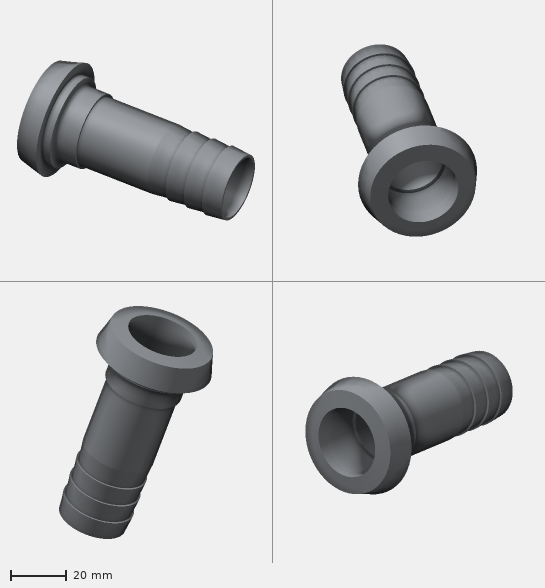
import cadquery as cq

total_length = 81.0

bore_diameter = 23.2
counterbore_diameter = 26.0
flange_front_diameter = 39.0
flange_diameter = 44.0
shoulder_diameter = 35.0
collar_diameter = 29.0
shank_diameter = 26.9
barb_tip_diameter = 25.3

seat_cone_depth = 0.6
flange_length = 9.8
shoulder_length = 3.2
collar_fillet_radius = 1.5
collar_length = 9.0
counterbore_depth = 20.0
barb_pitch = 7.5
barb_count = 4

shoulder_end = flange_length + shoulder_length
collar_end = shoulder_end + collar_length
barbs_start = total_length - barb_count * barb_pitch


def half(diameter):
    return diameter / 2


def head_outline():
    """Open outline from the counterbore edge over the flange, shoulder and collar to the shank."""
    return (
        cq.Workplane("XY")
        .moveTo(0, half(counterbore_diameter))
        .lineTo(seat_cone_depth, half(flange_front_diameter))
        .lineTo(flange_length, half(flange_diameter))
        .lineTo(flange_length, half(shoulder_diameter))
        .lineTo(shoulder_end, half(shoulder_diameter))
        .lineTo(shoulder_end, half(collar_diameter) + collar_fillet_radius)
        .radiusArc(
            (shoulder_end + collar_fillet_radius, half(collar_diameter)),
            -collar_fillet_radius,
        )
        .lineTo(collar_end, half(collar_diameter))
        .lineTo(collar_end, half(shank_diameter))
        .lineTo(barbs_start, half(shank_diameter))
    )


def add_barbs(outline):
    """Continue the outline with cones that narrow toward the hose end."""
    for index in range(barb_count):
        barb_start = barbs_start + index * barb_pitch
        if index > 0:
            outline = outline.lineTo(barb_start, half(shank_diameter))
        outline = outline.lineTo(barb_start + barb_pitch, half(barb_tip_diameter))
    return outline


def hose_tail():
    """Close the outline along the stepped bore and revolve it about the X axis."""
    outline = add_barbs(head_outline())
    profile = (
        outline.lineTo(total_length, half(bore_diameter))
        .lineTo(counterbore_depth, half(bore_diameter))
        .lineTo(counterbore_depth, half(counterbore_diameter))
        .close()
    )
    return profile.revolve(360, (0, 0, 0), (1, 0, 0))


result = hose_tail()